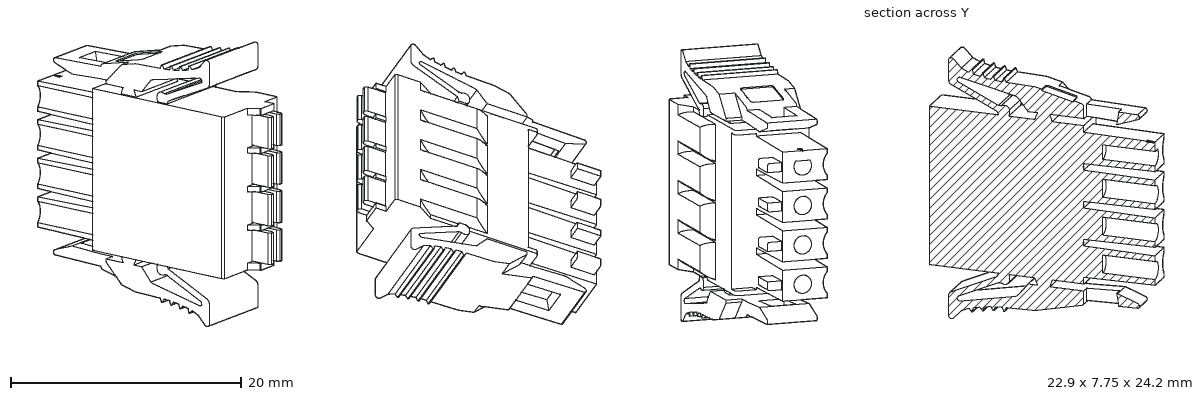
import cadquery as cq
import math


pole_count = 4
pitch = 3.5
pole_levels = [(i - (pole_count - 1) / 2) * pitch for i in range(pole_count)]
gap_levels = [(i - pole_count / 2) * pitch for i in range(1, pole_count)]

body_length = 14.3
body_half_height = 7.35
body_thickness = 7.75
low_thickness = 6.83
entry_radius = 0.3
edge_chamfer_x = 0.25
edge_chamfer_y = 0.1
slope_run = 1.45
hump_start = 4.95
block_start = 10.43
hump_radius = 1.7
hump_axis_y = 6.52
recess_depth = 0.97
recess_half_height = 6.93
recess_fillet = 0.27

block_length = 6.6
block_low_y = 0.77
block_high_y = 4.9
block_half_tip = 1.38
block_half_root = 1.47
groove_half_width = 0.97
groove_depth = 0.36
bore_diameter = 1.62
bore_y = 3.05
bore_depth = 4.83
bore_flat_height = 0.48

tab_start = -6.35
tab_length = 2.27
tab_high_y = 6.23
tab_height = 0.8
tab_fillet = 0.22

post_length = 1.0
post_root_y = 3.43
post_low_y = 4.03
post_high_y = 5.95
post_land = 0.12
end_post_height = 0.63
mid_post_height = 0.48
prong_end = 16.3
prong_height = 2.85
prong_thickness = 0.55
prong_low_ys = (4.08, 5.3)
prong_tip = 0.27
prong_tip_slant = 0.15

latch_low_y = 0.23
latch_width = 7.0
arm_low_y = 1.15
arm_high_y = 5.77
neck_width = 6.0
window_start = -3.24
window_low_y = 2.35
window_width = 2.3
window_slant = 0.27
window_slant_top_z = 9.08
shoulder_x = 1.28
shoulder_z = 8.2
shoulder_run = 2.13
shoulder_rise = 2.22
beyond_arm_x = -6.04
below_arm_z = 7.49
above_arm_z = 9.65
neck_low_z = 7.25
neck_high_z = 8.1
grip_start = (6.98, 10.43)
grip_middle = (8.81, 10.55)
grip_end = (10.8, 11.0)
ridge_count = 4
ridge_first_x = 7.4
ridge_pitch = 1.01
ridge_height = 0.35
ridge_half_base = 0.22
ridge_half_tip = 0.05
lever_low = (0.22, 9.35)
lever_high = (4.5, 10.35)

mark_depth = 0.07
badge_depth = 0.12
mark_length = 0.8
mark_width = 0.4
badge_length = 3.0
badge_width = 3.07
badge_fillet = 0.25
badge_centre_x = 2.42
face_arrow_tip_y = 3.0


def box(x0, x1, y0, y1, z0, z1):
    return cq.Workplane("XY").box(x1 - x0, y1 - y0, z1 - z0, centered=False).translate((x0, y0, z0))


def extrude_along_y(outline, low_y, width):
    """Extrude an outline drawn in X and Z from low_y by width toward +Y."""
    return outline.extrude(-width).translate((0, low_y, 0))


def extrude_along_z(outline, half_height):
    return outline.extrude(half_height, both=True)


def ramp_block(start):
    """Full-thickness stretch of the housing with a ramp facing the wire end."""
    outline = (
        cq.Workplane("XY")
        .moveTo(start, 0)
        .lineTo(start, low_thickness)
        .lineTo(start + slope_run, body_thickness)
        .lineTo(body_length - edge_chamfer_x, body_thickness)
        .lineTo(body_length, body_thickness - edge_chamfer_y)
        .lineTo(body_length, edge_chamfer_y)
        .lineTo(body_length - edge_chamfer_x, 0)
        .close()
    )
    return extrude_along_z(outline, body_half_height)


def make_housing():
    low_part = box(0, block_start, 0, low_thickness, -body_half_height, body_half_height)
    low_part = low_part.faces(">Y").edges("<X").fillet(entry_radius)
    housing = low_part.union(ramp_block(block_start))

    humps = (
        cq.Workplane("YZ")
        .pushPoints([(hump_axis_y, z) for z in pole_levels])
        .circle(hump_radius)
        .extrude(body_length)
    )
    housing = housing.union(humps.intersect(ramp_block(hump_start)))

    recess = box(
        -recess_fillet, recess_depth, block_high_y, body_thickness, -recess_half_height, recess_half_height
    )
    recess = recess.faces(">X").edges("<Y").fillet(recess_fillet)
    return housing.cut(recess)


def make_entry_block(z):
    outline = (
        cq.Workplane("XZ")
        .polyline([
            (-block_length, z - block_half_tip),
            (-block_length, z + block_half_tip),
            (0, z + block_half_root),
            (recess_depth, z + block_half_root),
            (recess_depth, z - block_half_root),
            (0, z - block_half_root),
        ])
        .close()
    )
    block = extrude_along_y(outline, block_low_y, block_high_y - block_low_y)
    groove = (
        cq.Workplane("YZ", origin=(-block_length, 0, z))
        .moveTo(block_low_y, -groove_half_width)
        .threePointArc((block_low_y + groove_depth, 0), (block_low_y, groove_half_width))
        .close()
        .extrude(block_length)
    )
    return block.cut(groove)


def make_bore(z):
    return cq.Workplane("YZ", origin=(-block_length, bore_y, z)).circle(bore_diameter / 2).extrude(bore_depth)


def make_tab(z, rounded_side):
    """Coding tab on a wire-entry block; rounded_side is +1 or -1 along Z."""
    tab = box(
        tab_start, tab_start + tab_length, block_high_y, tab_high_y, z - tab_height / 2, z + tab_height / 2
    )
    rounded_edge = ">Z" if rounded_side > 0 else "<Z"
    return tab.faces(">Y").edges(rounded_edge).fillet(tab_fillet)


def make_post(low_z, high_z):
    outline = (
        cq.Workplane("XY", origin=(0, 0, low_z))
        .polyline([
            (body_length, post_root_y),
            (body_length + post_length - post_land, post_low_y),
            (body_length + post_length, post_low_y),
            (body_length + post_length, post_high_y),
            (body_length, post_high_y),
        ])
        .close()
    )
    return outline.extrude(high_z - low_z)


def make_prong(low_y, z):
    high_y = low_y + prong_thickness
    outline = (
        cq.Workplane("XY", origin=(0, 0, z))
        .polyline([
            (body_length, low_y),
            (prong_end - prong_tip, low_y),
            (prong_end, low_y + prong_tip_slant),
            (prong_end, high_y - prong_tip_slant),
            (prong_end - prong_tip, high_y),
            (body_length, high_y),
        ])
        .close()
    )
    return extrude_along_z(outline, prong_height / 2)


def grip_radius_and_centre():
    """Radius and centre of the arc through the three grip points."""
    (ax, az), (bx, bz), (cx, cz) = grip_start, grip_middle, grip_end
    det = 2 * (ax * (bz - cz) + bx * (cz - az) + cx * (az - bz))
    a2, b2, c2 = ax**2 + az**2, bx**2 + bz**2, cx**2 + cz**2
    centre_x = (a2 * (bz - cz) + b2 * (cz - az) + c2 * (az - bz)) / det
    centre_z = (a2 * (cx - bx) + b2 * (ax - cx) + c2 * (bx - ax)) / det
    return math.hypot(ax - centre_x, az - centre_z), centre_x, centre_z


def make_lever():
    """Lever with its folded spring arm, full width."""
    outline = (
        cq.Workplane("XZ")
        .moveTo(-5.0, 8.48)
        .threePointArc((-5.17, 8.72), (-5.0, 8.95))
        .lineTo(0, 9.08)
        .threePointArc((0.07, 9.25), lever_low)
        .lineTo(*lever_high)
        .lineTo(*grip_start)
        .threePointArc(grip_middle, grip_end)
        .lineTo(11.33, 11.23)
        .lineTo(12.08, 12.0)
        .threePointArc((12.27, 12.08), (12.55, 11.79))
        .lineTo(12.55, 9.95)
        .threePointArc((12.45, 9.7), (12.25, 9.55))
        .lineTo(8.05, 7.6)
        .lineTo(7.87, 7.15)
        .lineTo(7.2, 7.15)
        .threePointArc((6.95, 7.32), (6.85, 7.58))
        .lineTo(6.85, 7.95)
        .threePointArc((7.22, 8.28), (7.63, 8.2))
        .lineTo(7.9, 8.2)
        .lineTo(11.52, 9.88)
        .threePointArc((11.71, 10.15), (11.42, 10.3))
        .lineTo(6.38, 9.25)
        .lineTo(6.15, 9.15)
        .lineTo(5.17, 7.95)
        .lineTo(-0.12, 7.95)
        .lineTo(-3.15, 7.8)
        .close()
    )
    return extrude_along_y(outline, latch_low_y, latch_width)


def make_ridges():
    """Grip ridges standing square to the hollow grip arc."""
    radius, centre_x, centre_z = grip_radius_and_centre()
    section = [
        (-ridge_half_base, -ridge_height),
        (-ridge_half_base, 0),
        (-ridge_half_tip, ridge_height),
        (ridge_half_tip, ridge_height),
        (ridge_half_base, 0),
        (ridge_half_base, -ridge_height),
    ]
    ridges = cq.Workplane("XZ")
    for i in range(ridge_count):
        root_x = ridge_first_x + i * ridge_pitch
        sine = (root_x - centre_x) / radius
        cosine = math.sqrt(1 - sine**2)
        root_z = centre_z - radius * cosine
        points = [(root_x + u * cosine - v * sine, root_z + u * sine + v * cosine) for u, v in section]
        ridges = ridges.polyline(points).close()
    return extrude_along_y(ridges, latch_low_y, latch_width)


def make_latch():
    """Latch on the +Z side of the housing."""
    neck = cq.Workplane("XZ").polyline([
        (2.9, neck_low_z), (3.16, neck_high_z), (4.25, neck_high_z), (4.61, neck_low_z)
    ]).close()
    latch = make_lever().union(make_ridges()).union(extrude_along_y(neck, latch_low_y, neck_width))

    shoulder_top_x = shoulder_x + shoulder_run
    shoulder_top_z = shoulder_z + shoulder_rise
    beside_arm = cq.Workplane("XZ").polyline([
        (beyond_arm_x, below_arm_z),
        (shoulder_x, below_arm_z),
        (shoulder_x, shoulder_z),
        (shoulder_top_x, shoulder_top_z),
        (beyond_arm_x, shoulder_top_z),
    ]).close()
    beside_arm = extrude_along_y(beside_arm, latch_low_y, latch_width)
    arm_space = box(beyond_arm_x, shoulder_top_x, arm_low_y, arm_high_y, below_arm_z, shoulder_top_z)
    latch = latch.cut(beside_arm.cut(arm_space))

    window = (
        cq.Workplane("XZ")
        .polyline([
            (window_start, above_arm_z),
            (0, above_arm_z),
            (0, below_arm_z),
            (window_start + window_slant, below_arm_z),
            (window_start, window_slant_top_z),
        ])
        .close()
    )
    return latch.cut(extrude_along_y(window, window_low_y, window_width))


def make_badge_recess():
    """Shallow rounded pocket in the sloped outer face of the +Z lever."""
    rise = lever_high[1] - lever_low[1]
    run = lever_high[0] - lever_low[0]
    centre_z = lever_low[1] + (badge_centre_x - lever_low[0]) * rise / run
    centre_y = (arm_low_y + arm_high_y) / 2
    plane = cq.Plane(
        origin=(badge_centre_x, centre_y, centre_z), xDir=(run, 0, rise), normal=(-rise, 0, run)
    )
    pocket = cq.Workplane(plane).rect(badge_length, badge_width).extrude(badge_depth, both=True)
    return pocket.edges(cq.selectors.ParallelDirSelector(plane.zDir)).fillet(badge_fillet)


def make_face_arrow(z):
    """Arrow mark cut in the wire-side face between two blocks, pointing to -Y."""
    outline = cq.Workplane("YZ", origin=(0, 0, z)).polyline([
        (face_arrow_tip_y, 0),
        (face_arrow_tip_y + mark_length, mark_width / 2),
        (face_arrow_tip_y + mark_length, -mark_width / 2),
    ]).close()
    return outline.extrude(mark_depth)


def make_top_arrow():
    """Arrow mark in the outer side of the +Z block, pointing to the wire end."""
    surface_z = pole_levels[-1] + block_half_tip
    outline = cq.Workplane("XY", origin=(0, 0, surface_z - mark_depth)).polyline([
        (-block_length, bore_y),
        (mark_length - block_length, bore_y + mark_width / 2),
        (mark_length - block_length, bore_y - mark_width / 2),
    ]).close()
    return outline.extrude(2 * mark_depth)


result = make_housing()
for i, z in enumerate(pole_levels):
    result = result.union(make_entry_block(z))
    result = result.union(make_tab(z, 1 if i % 2 else -1))
    for low_y in prong_low_ys:
        result = result.union(make_prong(low_y, z))

top_level = pole_levels[-1]
top_bore = make_bore(top_level).intersect(
    box(-block_length, 0, 0, block_high_y, 0, top_level + bore_flat_height)
)
result = result.cut(top_bore).cut(make_top_arrow())
for z in pole_levels[:-1]:
    result = result.cut(make_bore(z))

for z in gap_levels:
    result = result.union(make_post(z - mid_post_height / 2, z + mid_post_height / 2))
    result = result.cut(make_face_arrow(z))
result = result.union(make_post(body_half_height - end_post_height, body_half_height))
result = result.union(make_post(-body_half_height, end_post_height - body_half_height))

latch = make_latch()
result = result.union(latch).union(latch.mirror("XY"))
result = result.cut(make_badge_recess())